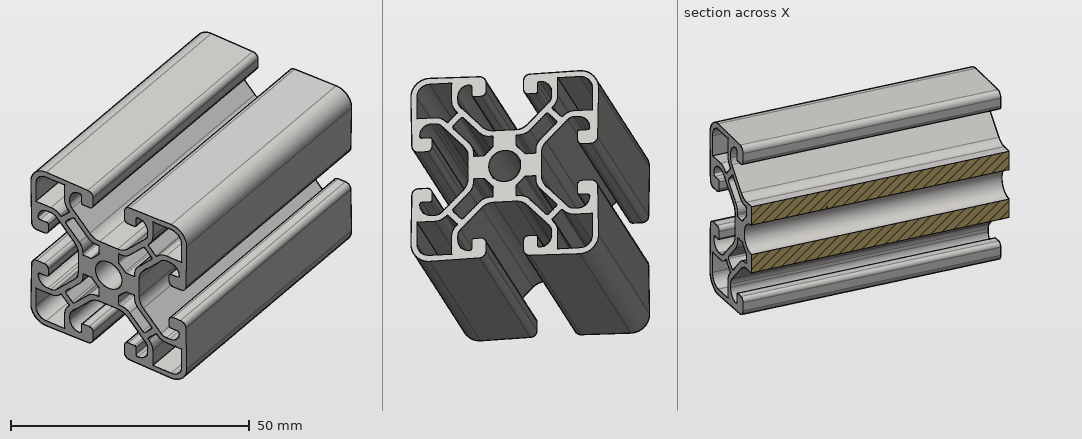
import cadquery as cq
import math

WIDTH = 40.0
LENGTH = 60.0
CENTRE_BORE_DIAMETER = 6.8

HALF_WIDTH = WIDTH / 2
OUTER_CORNER_RADIUS = 4.0

SLOT_HALF_OPENING = 4.0
SLOT_FLOOR = 7.8
SLOT_HALF_WIDTH = 10.0
SLOT_FLANK_OFFSET = 4.0
FLOOR_BEND_RADIUS = 3.6
FLANK_BEND_RADIUS = 2.0

LIP_SET_BACK = 0.23
LIP_HEIGHT = 4.5
LIP_NOSE_WIDTH = 3.0
LIP_UNDERCUT_TOP = 18.1
LIP_OUTER_RADIUS = 1.4
LIP_INNER_RADIUS = 1.0
LIP_HEEL_RADIUS = 0.4
UNDERCUT_CORNER_RADIUS = 0.5
UNDERCUT_ROUND_RADIUS = 2.5

OUTER_WALL = 1.3
SLOT_WALL = 1.3
FLOOR_WALL = 1.15
INNER_FLANK_OFFSET = SLOT_FLANK_OFFSET - SLOT_WALL * math.sqrt(2)
CHAMBER_WEB_SUM = 22.25
CHAMBER_WEB_RADIUS = 0.2
CELL_OUTER_SUM = 20.3
CELL_INNER_SUM = 6.85
CELL_INNER_WALL = 2.45
CELL_OUTER_RADIUS = 0.4
CELL_INNER_RADIUS = 0.5
CELL_WALL_RADIUS = 0.25
CELL_BEND_RADIUS = 3.0


def rounded_loop(corners):
    """Close a loop of straight edges through (x, z, radius) corners, each rounded by a tangent arc."""
    plane = cq.Plane.XZ()
    edges = []
    stops = []
    for index, (x, z, radius) in enumerate(corners):
        here = cq.Vector(x, z)
        before = corners[index - 1]
        after = corners[(index + 1) % len(corners)]
        to_before = (cq.Vector(before[0], before[1]) - here).normalized()
        to_after = (cq.Vector(after[0], after[1]) - here).normalized()
        half_angle = to_before.getAngle(to_after) / 2
        setback = radius / math.tan(half_angle)
        to_centre = (to_before + to_after).normalized()
        arc_middle = here + to_centre * (radius / math.sin(half_angle) - radius)
        stops.append((here + to_before * setback, arc_middle, here + to_after * setback, radius))

    tolerance = 1e-6
    for index, (start, middle, end, radius) in enumerate(stops):
        previous_end = stops[index - 1][2]
        if (start - previous_end).Length > tolerance:
            edges.append(cq.Edge.makeLine(plane.toWorldCoords(previous_end), plane.toWorldCoords(start)))
        if radius > 0:
            arc_points = [plane.toWorldCoords(point) for point in (start, middle, end)]
            edges.append(cq.Edge.makeThreePointArc(*arc_points))
    return cq.Wire.assembleEdges(edges)


def mirrored_over_diagonal(corners):
    """Corners reflected over the line z = x, in reverse order so that a loop carries on."""
    return [(z, x, radius) for x, z, radius in reversed(corners)]


def quarter_turns(corners, turns):
    """Corners turned clockwise about the profile centre by a number of quarter turns."""
    for _ in range(turns):
        corners = [(z, -x, radius) for x, z, radius in corners]
    return corners


def outer_corners():
    """Outline of the whole profile: one slot side, reflected and repeated around the centre."""
    lip_end = SLOT_HALF_OPENING + LIP_NOSE_WIDTH
    lip_top = HALF_WIDTH - LIP_SET_BACK
    lip_bottom = HALF_WIDTH - LIP_HEIGHT
    slot_side = [
        (SLOT_FLOOR - SLOT_FLANK_OFFSET, SLOT_FLOOR, FLOOR_BEND_RADIUS),
        (SLOT_HALF_WIDTH, SLOT_HALF_WIDTH + SLOT_FLANK_OFFSET, FLANK_BEND_RADIUS),
        (SLOT_HALF_WIDTH, LIP_UNDERCUT_TOP, UNDERCUT_ROUND_RADIUS),
        (lip_end, LIP_UNDERCUT_TOP, UNDERCUT_CORNER_RADIUS),
        (lip_end, lip_bottom, LIP_HEEL_RADIUS),
        (SLOT_HALF_OPENING, lip_bottom, LIP_INNER_RADIUS),
        (SLOT_HALF_OPENING, lip_top, LIP_OUTER_RADIUS),
        (HALF_WIDTH - OUTER_CORNER_RADIUS, HALF_WIDTH, 0),
    ]
    outer_corner = [(HALF_WIDTH, HALF_WIDTH, OUTER_CORNER_RADIUS)]
    quadrant = slot_side + outer_corner + mirrored_over_diagonal(slot_side)
    loop = []
    for turns in range(4):
        loop += quarter_turns(quadrant, turns)
    return loop


def corner_chamber():
    """Hollow chamber behind the rounded outer corner."""
    outer_face = HALF_WIDTH - OUTER_WALL
    slot_face = SLOT_HALF_WIDTH + SLOT_WALL
    web_x = (CHAMBER_WEB_SUM - INNER_FLANK_OFFSET) / 2
    half = [
        (web_x, CHAMBER_WEB_SUM - web_x, CHAMBER_WEB_RADIUS),
        (slot_face, slot_face + INNER_FLANK_OFFSET, FLANK_BEND_RADIUS + SLOT_WALL),
        (slot_face, outer_face, 0),
    ]
    rounded_corner = [(outer_face, outer_face, OUTER_CORNER_RADIUS - OUTER_WALL)]
    return half + rounded_corner + mirrored_over_diagonal(half)


def diagonal_cell():
    """Narrow hollow cell inside the diagonal arm, between the bore and the corner chamber."""
    floor_face = SLOT_FLOOR - FLOOR_WALL
    outer_x = (CELL_OUTER_SUM - INNER_FLANK_OFFSET) / 2
    half = [
        (CELL_INNER_WALL, CELL_INNER_SUM - CELL_INNER_WALL, CELL_INNER_RADIUS),
        (CELL_INNER_WALL, floor_face, CELL_WALL_RADIUS),
        (floor_face - INNER_FLANK_OFFSET, floor_face, CELL_BEND_RADIUS),
        (outer_x, CELL_OUTER_SUM - outer_x, CELL_OUTER_RADIUS),
    ]
    return half + mirrored_over_diagonal(half)


def extruded_profile():
    """The profile with all its hollows, extruded along Y and centred on the origin."""
    hollows = []
    for turns in range(4):
        hollows.append(rounded_loop(quarter_turns(corner_chamber(), turns)))
        hollows.append(rounded_loop(quarter_turns(diagonal_cell(), turns)))
    along_y = cq.Vector(0, 1, 0)
    hollows.append(cq.Wire.makeCircle(CENTRE_BORE_DIAMETER / 2, cq.Vector(0, 0, 0), along_y))
    profile = cq.Face.makeFromWires(rounded_loop(outer_corners()), hollows)
    solid = cq.Solid.extrudeLinear(profile, along_y * LENGTH)
    return cq.Workplane("XY").newObject([solid.translate(along_y * (-LENGTH / 2))])


result = extruded_profile()